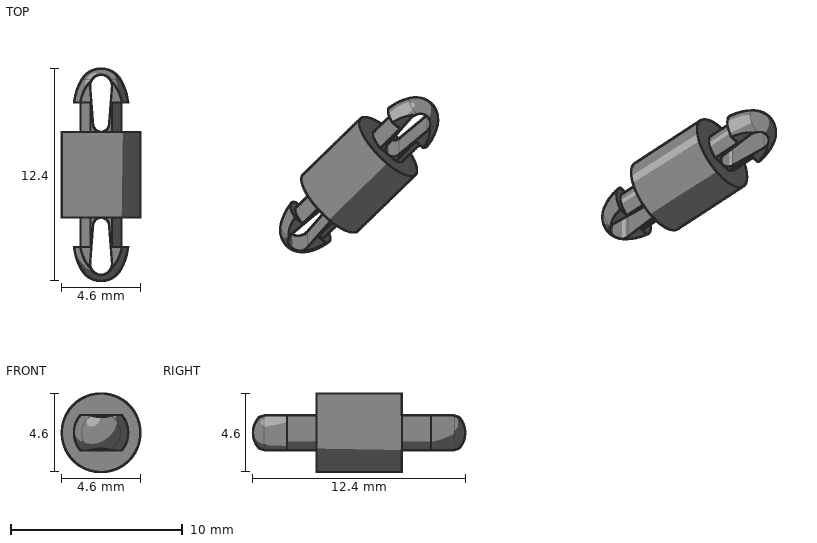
import cadquery as cq
import math

total_length = 12.4
body_diameter = 4.6
body_length = 5.0

neck_radius = 1.2
clip_thickness = 2.06
head_length = 2.0
head_radius = 1.59
nose_radius = 1.31
nose_depth = 0.65

tip_wall = 0.37
slot_outer_radius = 0.63
slot_inner_radius = 0.46

tip_y = total_length / 2
body_end_y = body_length / 2
head_base_y = tip_y - head_length


def cylinder_along_y(radius, start_y, end_y):
    """Solid cylinder on the Y axis between two Y positions."""
    plane = cq.Plane(origin=(0, start_y, 0), xDir=(1, 0, 0), normal=(0, 1, 0))
    return cq.Workplane(plane).circle(radius).extrude(end_y - start_y)


def make_head():
    """Revolve a spherical nose that runs tangentially into a curved flank."""
    nose_center_y = tip_y - nose_radius
    nose_end_y = tip_y - nose_depth
    nose_end_radius = math.sqrt(nose_radius**2 - (nose_end_y - nose_center_y)**2)
    half_angle = math.atan2(nose_end_radius, nose_end_y - nose_center_y) / 2
    nose_middle = (
        nose_radius * math.sin(half_angle),
        nose_center_y + nose_radius * math.cos(half_angle),
    )
    return (
        cq.Workplane("XY")
        .moveTo(0, tip_y)
        .threePointArc(nose_middle, (nose_end_radius, nose_end_y))
        .tangentArcPoint((head_radius, head_base_y), relative=False)
        .lineTo(0, head_base_y)
        .close()
        .revolve(360, (0, 0, 0), (0, 1, 0))
    )


def make_slot():
    """Slot through Z: two round ends of different radius joined by tangent lines."""
    outer_end_y = tip_y - tip_wall
    outer_center_y = outer_end_y - slot_outer_radius
    inner_center_y = body_end_y + slot_inner_radius
    taper_sine = (slot_outer_radius - slot_inner_radius) / (outer_center_y - inner_center_y)
    taper_cosine = math.sqrt(1 - taper_sine**2)

    outer_x = slot_outer_radius * taper_cosine
    outer_y = outer_center_y - slot_outer_radius * taper_sine
    inner_x = slot_inner_radius * taper_cosine
    inner_y = inner_center_y - slot_inner_radius * taper_sine
    return (
        cq.Workplane("XY")
        .moveTo(inner_x, inner_y)
        .lineTo(outer_x, outer_y)
        .threePointArc((0, outer_end_y), (-outer_x, outer_y))
        .lineTo(-inner_x, inner_y)
        .threePointArc((0, body_end_y), (inner_x, inner_y))
        .close()
        .extrude(clip_thickness, both=True)
    )


def make_clip():
    """Clip on the +Y end of the body."""
    neck = cylinder_along_y(neck_radius, body_end_y, head_base_y)
    flat_sides = cq.Workplane("XY").box(body_diameter, total_length, clip_thickness)
    return neck.union(make_head()).intersect(flat_sides).cut(make_slot())


body = cylinder_along_y(body_diameter / 2, -body_end_y, body_end_y)
clip = make_clip()
result = body.union(clip).union(clip.mirror("XZ"))